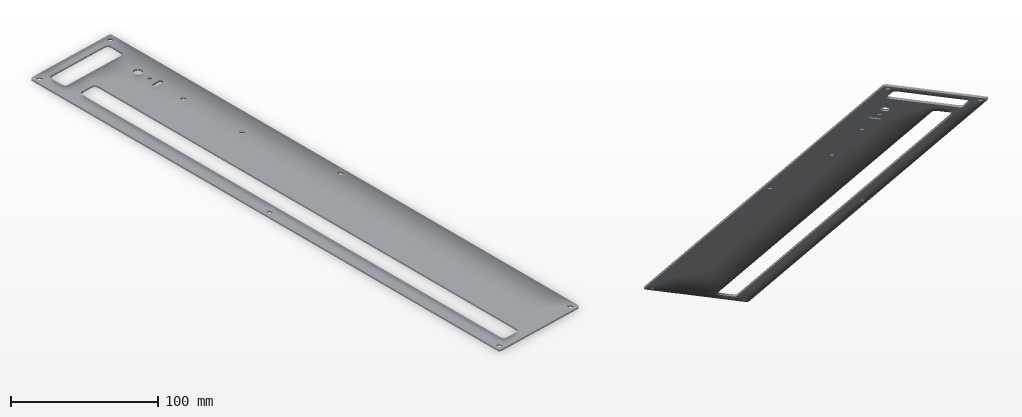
import cadquery as cq

LENGTH = 457.2
WIDTH = 76.2
THICKNESS = 1.58
CORNER_RADIUS = 2.0

SCREW_DIAMETER = 3.2
COUNTERSINK_DIAMETER = 4.8
COUNTERSINK_ANGLE = 90
SCREW_INSET = 4.5
SCREW_X = LENGTH / 2 - SCREW_INSET
SCREW_Y = WIDTH / 2 - SCREW_INSET

WINDOW_CORNER_RADIUS = 3.0
END_MARGIN = 7.7
SIDE_WINDOW_LENGTH = 16.0
SIDE_WINDOW_WIDTH = 56.2
SIDE_WINDOW_X = -LENGTH / 2 + END_MARGIN + SIDE_WINDOW_LENGTH / 2
LONG_WINDOW_LENGTH = 413.5
LONG_WINDOW_WIDTH = 15.0
LONG_WINDOW_X = LENGTH / 2 - END_MARGIN - LONG_WINDOW_LENGTH / 2
LONG_WINDOW_Y = -19.2

CONTROL_Y = 19.7
JACK_DIAMETER = 7.0
JACK_X = -183.0
LAMP_DIAMETER = 3.0
LAMP_X = -171.5
SWITCH_LENGTH = 3.5
SWITCH_WIDTH = 8.5
SWITCH_CORNER_RADIUS = 0.25
SWITCH_X = -163.8
STANDOFF_XS = (-138.6, -81.3)


def rounded_plate(length, width, radius, x=0, y=0):
    """Plate of the panel's thickness with rounded upright edges."""
    plate = cq.Workplane("XY").box(length, width, THICKNESS, centered=(True, True, False))
    return plate.edges("|Z").fillet(radius).translate((x, y, 0))


def round_cutters(diameter, points):
    """Cylinders through the panel's thickness at the given points."""
    return cq.Workplane("XY").pushPoints(points).circle(diameter / 2).extrude(THICKNESS)


def cut_windows(panel):
    side_window = rounded_plate(SIDE_WINDOW_LENGTH, SIDE_WINDOW_WIDTH, WINDOW_CORNER_RADIUS, SIDE_WINDOW_X)
    long_window = rounded_plate(
        LONG_WINDOW_LENGTH, LONG_WINDOW_WIDTH, WINDOW_CORNER_RADIUS, LONG_WINDOW_X, LONG_WINDOW_Y
    )
    return panel.cut(side_window).cut(long_window)


def cut_screw_holes(panel):
    edge_points = [(x, y) for x in (-SCREW_X, 0, SCREW_X) for y in (-SCREW_Y, SCREW_Y)]
    standoff_points = [(x, CONTROL_Y) for x in STANDOFF_XS]
    top = panel.faces(">Z").workplane(origin=(0, 0, THICKNESS))
    return top.pushPoints(edge_points + standoff_points).cskHole(
        SCREW_DIAMETER, COUNTERSINK_DIAMETER, COUNTERSINK_ANGLE
    )


def cut_controls(panel):
    jack = round_cutters(JACK_DIAMETER, [(JACK_X, CONTROL_Y)])
    lamp = round_cutters(LAMP_DIAMETER, [(LAMP_X, CONTROL_Y)])
    switch = rounded_plate(SWITCH_LENGTH, SWITCH_WIDTH, SWITCH_CORNER_RADIUS, SWITCH_X, CONTROL_Y)
    return panel.cut(jack).cut(lamp).cut(switch)


result = rounded_plate(LENGTH, WIDTH, CORNER_RADIUS)
result = cut_windows(result)
result = cut_screw_holes(result)
result = cut_controls(result)